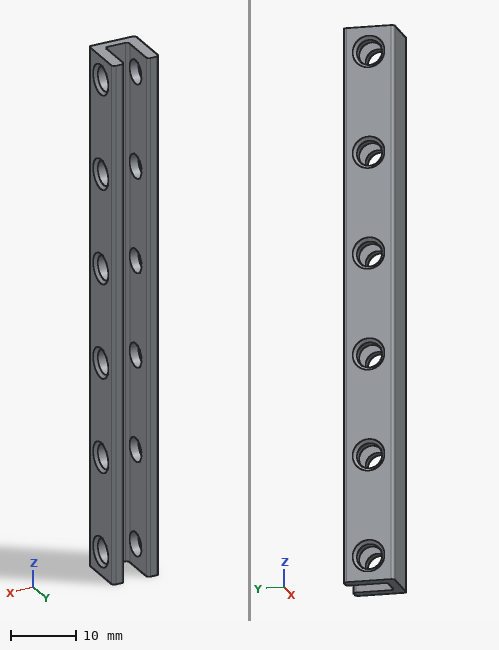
import cadquery as cq

length = 88
width = 8.0
depth = 8.0

wall = 2.0
floor = 1.5
slot_width = width - 2 * wall
edge_radius = 0.5
slot_corner_radius = 0.5

hole_count = 6
hole_pitch = 16.0
hole_diameter = 4.0
countersink_diameter = 5.0
countersink_depth = (countersink_diameter - hole_diameter) / 2


def channel():
    """U-section bar along Z, open toward +Y, with rounded long edges."""
    bar = (
        cq.Workplane("XY")
        .box(width, depth, length)
        .edges("|Z")
        .fillet(edge_radius)
    )
    slot = (
        cq.Workplane("XY")
        .box(slot_width, depth, length)
        .edges("|Z and <Y")
        .fillet(slot_corner_radius)
        .translate((0, floor, 0))
    )
    channel_body = bar.cut(slot)
    lip_corners = cq.selectors.BoxSelector(
        (-slot_width / 2 - edge_radius / 2, depth / 2 - edge_radius / 2, -length),
        (slot_width / 2 + edge_radius / 2, depth / 2 + edge_radius / 2, length),
    )
    return channel_body.edges("|Z").edges(lip_corners).fillet(edge_radius)


def cross_hole(z):
    """Cutter along X: a through hole with a countersink on each outer wall."""
    cutter = cq.Solid.makeCylinder(
        hole_diameter / 2, width, cq.Vector(-width / 2, 0, z), cq.Vector(1, 0, 0)
    )
    for side in (-1, 1):
        countersink = cq.Solid.makeCone(
            countersink_diameter / 2,
            hole_diameter / 2,
            countersink_depth,
            cq.Vector(side * width / 2, 0, z),
            cq.Vector(-side, 0, 0),
        )
        cutter = cutter.fuse(countersink)
    return cutter


result = channel()
for index in range(hole_count):
    hole_z = (index - (hole_count - 1) / 2) * hole_pitch
    result = result.cut(cross_hole(hole_z))